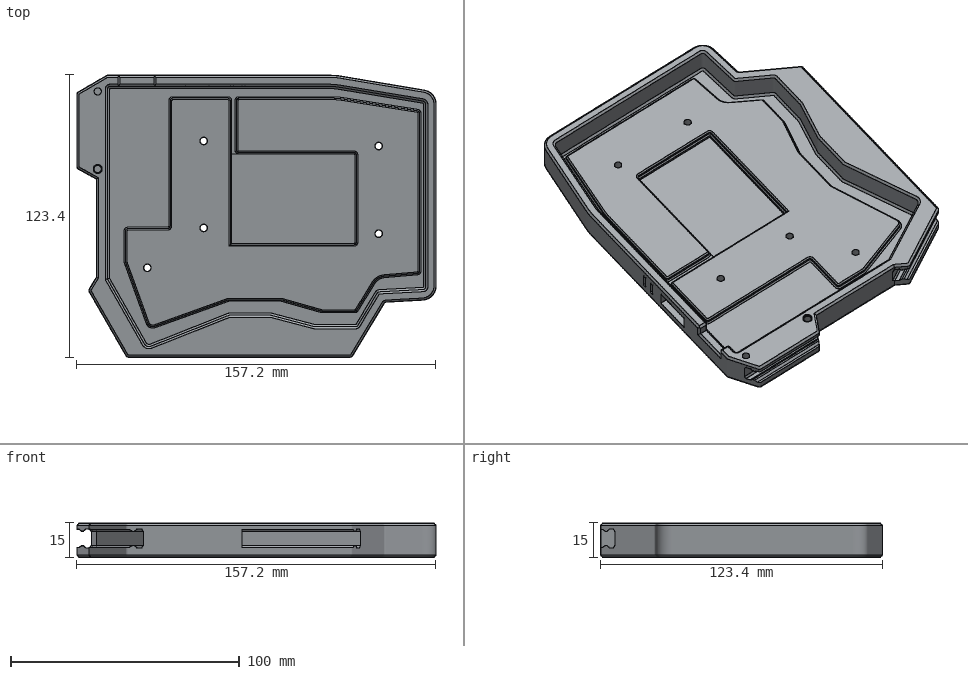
import cadquery as cq
import math

LENGTH = 157.2
DEPTH = 123.4
HEIGHT = 15.0
WALL = 4.9
RIGHT_WALL = 4.5
TAB_NECK_X = 8.5

FLOOR_Z = 2.5
PLATEAU_Z = 4.7
RECESS_Z = 1.4

EDGE_CHAMFER = 1.0
PLATEAU_CHAMFER = 0.6
CORNER_R = 1.3
SMALL_R = 1.1
TIP_R = 2.4
BEND_R = 25.2
RIGHT_CORNER_R = 6.3
OVERCUT = 1.5

OUTER = [
    (21.8, 0, CORNER_R),
    (120.3, 0, CORNER_R),
    (134.7, 24.0, CORNER_R),
    (LENGTH, 25.3, RIGHT_CORNER_R),
    (LENGTH, 116.0, RIGHT_CORNER_R),
    (113.2, DEPTH, BEND_R),
    (13.2, DEPTH, CORNER_R),
    (0, 115.7, CORNER_R),
    (0, 82.7, CORNER_R),
    (TAB_NECK_X, 78.0, 0),
    (TAB_NECK_X, 34.9, 0),
    (5.0, 29.2, CORNER_R),
]

CAVITY = [
    (30.5, 4.1, TIP_R),
    (66.6, 18.4, CORNER_R),
    (84.9, 18.4, CORNER_R),
    (104.0, 13.4, CORNER_R),
    (122.6, 13.4, CORNER_R),
    (131.7, 28.6, CORNER_R),
    (LENGTH - RIGHT_WALL, 29.7, CORNER_R),
    (LENGTH - RIGHT_WALL, 111.9, RIGHT_CORNER_R - RIGHT_WALL),
    (112.5, DEPTH - WALL, BEND_R),
    (TAB_NECK_X + WALL, DEPTH - WALL, CORNER_R),
    (TAB_NECK_X + WALL, 34.3, 0),
]

CHANNEL_LEFT = 67.1
CHANNEL_RIGHT = 69.8
RECESS_RIGHT = 122.3
RECESS_FRONT = 49.2
RECESS_BACK = 89.6
PLATEAU_BACK = 113.3

PLATEAU = [
    (31.8, 12.7, TIP_R),
    (66.3, 25.2, CORNER_R),
    (89.5, 25.2, CORNER_R),
    (107.2, 20.1, CORNER_R),
    (122.1, 20.1, CORNER_R),
    (131.4, 35.2, 6.3),
    (150.0, 36.8, CORNER_R),
    (150.0, 107.7, CORNER_R),
    (114.1, PLATEAU_BACK, BEND_R),
    (CHANNEL_RIGHT, PLATEAU_BACK, SMALL_R),
    (CHANNEL_RIGHT, RECESS_BACK, SMALL_R),
    (RECESS_RIGHT, RECESS_BACK, SMALL_R),
    (RECESS_RIGHT, RECESS_FRONT, SMALL_R),
    (CHANNEL_LEFT, RECESS_FRONT, 0),
    (CHANNEL_LEFT, PLATEAU_BACK, SMALL_R),
    (40.9, PLATEAU_BACK, SMALL_R),
    (40.9, 56.3, CORNER_R),
    (21.2, 56.3, SMALL_R),
    (21.2, 41.8, 0),
]

RAIL_Z = 8.25
RAIL_PROFILE = [
    (0, 4.0),
    (1.0, 4.0),
    (2.0, 3.1),
    (2.8, 3.1),
    (4.0, 4.1),
    (5.7, 4.1),
    (6.3, 3.0),
]
FRONT_RAIL_START = 72.2
RAIL_RUNOUT = 9.5

HOLE_D = 3.1
SCREW_HOLES = [(55.5, 94.6), (55.5, 56.6), (132.0, 92.5), (132.0, 54.0), (30.8, 39.1)]
TAB_HOLE_X = 9.1
TAB_HOLE_BACK_Y = 116.3
TAB_HOLE_FRONT_Y = 82.4
TAB_HOLE_DEPTH = 6.3
COUNTERBORE_D = 4.0
COUNTERBORE_DEPTH = 0.8

NOTCH_LEFT = 18.9
NOTCH_RIGHT = 33.6
NOTCH_Z = 10.2
WINDOW_LEFT = 47.5
WINDOW_RIGHT = 57.8
WINDOW_WALL = 1.9
WINDOW_POCKET_MARGIN = 3.1
OPENING_BOTTOM = 4.2
OPENING_TOP = 10.7
SLIT_LEFTS = [67.1, 72.2]
SLIT_WIDTH = 1.4


def rounded_outline(corners):
    """Closed wire through the corners, each rounded by its own tangent arc."""
    path = None
    for i, (x, y, radius) in enumerate(corners):
        here = cq.Vector(x, y)
        back = (cq.Vector(*corners[i - 1][:2]) - here).normalized()
        ahead = (cq.Vector(*corners[(i + 1) % len(corners)][:2]) - here).normalized()
        half_angle = back.getAngle(ahead) / 2
        reach = radius / math.tan(half_angle)
        start = here + back * reach
        end = here + ahead * reach
        middle = here + (back + ahead).normalized() * (radius / math.sin(half_angle) - radius)
        if path is None:
            path = cq.Workplane("XY").moveTo(start.x, start.y)
        else:
            path = path.lineTo(start.x, start.y)
        if radius > 0:
            path = path.threePointArc((middle.x, middle.y), (end.x, end.y))
    return path.close()


def prism(corners, bottom, top, grow=0.0):
    outline = rounded_outline(corners)
    if grow:
        outline = outline.offset2D(grow, "intersection")
    return outline.extrude(top - bottom).translate((0, 0, bottom))


def box(x0, x1, y0, y1, z0, z1):
    return cq.Workplane("XY").box(x1 - x0, y1 - y0, z1 - z0, centered=False).translate((x0, y0, z0))


def base_block():
    block = prism(OUTER, 0, HEIGHT)
    return block.faces("<Z or >Z").edges().chamfer(EDGE_CHAMFER)


def cavity_cutter():
    """Tray interior with a broken floor edge and a flared rim."""
    pit = prism(CAVITY, FLOOR_Z, HEIGHT + OVERCUT).faces("<Z").edges().chamfer(EDGE_CHAMFER)
    rim = prism(CAVITY, HEIGHT - EDGE_CHAMFER, HEIGHT + OVERCUT, grow=EDGE_CHAMFER)
    return pit.union(rim.faces("<Z").edges().chamfer(EDGE_CHAMFER))


def plateau():
    """Raised floor with a broken top edge and a sloped foot."""
    root_z = FLOOR_Z - PLATEAU_CHAMFER
    block = prism(PLATEAU, root_z, PLATEAU_Z).faces(">Z").edges().chamfer(PLATEAU_CHAMFER)
    foot = prism(PLATEAU, root_z, FLOOR_Z + PLATEAU_CHAMFER, grow=PLATEAU_CHAMFER)
    return block.union(foot.faces(">Z").edges().chamfer(PLATEAU_CHAMFER))


def recess_cutter():
    """Deeper area framed by the foot of the plateau."""
    inset = PLATEAU_CHAMFER
    x0 = CHANNEL_LEFT + inset
    x1 = RECESS_RIGHT - inset
    return box(x0, x1, RECESS_FRONT + inset, RECESS_BACK - inset, RECESS_Z, FLOOR_Z)


def rail_groove(start, end):
    """Groove cutter along an outer side that runs counter-clockwise from start to end."""
    start = cq.Vector(*start)
    along = cq.Vector(*end) - start
    inward = cq.Vector(0, 0, 1).cross(along)
    plane = cq.Plane(origin=(start.x, start.y, RAIL_Z), xDir=inward, normal=along)
    upper = [(-OVERCUT, RAIL_PROFILE[0][1])] + RAIL_PROFILE
    lower = [(depth, -half_height) for depth, half_height in reversed(upper)]
    return cq.Workplane(plane).polyline(upper + lower).close().extrude(along.Length)


def side_groove(first, last):
    """Rail groove along the side between two outline corners, running past both ends."""
    first = cq.Vector(*first[:2])
    last = cq.Vector(*last[:2])
    runout = (last - first).normalized() * RAIL_RUNOUT
    start = first - runout
    end = last + runout
    return rail_groove((start.x, start.y), (end.x, end.y))


def notch_cutter():
    """Open notch through the back wall, all of its edges broken."""
    bevel = EDGE_CHAMFER
    profile = (
        cq.Workplane("XZ", origin=(0, DEPTH + OVERCUT, 0))
        .moveTo(NOTCH_LEFT, NOTCH_Z)
        .lineTo(NOTCH_RIGHT, NOTCH_Z)
        .lineTo(NOTCH_RIGHT, HEIGHT - bevel)
        .lineTo(NOTCH_RIGHT + bevel + OVERCUT, HEIGHT + OVERCUT)
        .lineTo(NOTCH_LEFT - bevel - OVERCUT, HEIGHT + OVERCUT)
        .lineTo(NOTCH_LEFT, HEIGHT - bevel)
        .close()
    )
    opening = profile.extrude(WALL + 2 * OVERCUT)
    mouth_x0 = NOTCH_LEFT - bevel
    mouth_x1 = NOTCH_RIGHT + bevel
    mouth_z = NOTCH_Z - bevel
    inner_y = DEPTH - WALL
    mouth_top = HEIGHT + OVERCUT
    inner = box(mouth_x0, mouth_x1, inner_y - OVERCUT, inner_y + bevel, mouth_z, mouth_top)
    outer = box(mouth_x0, mouth_x1, DEPTH - bevel, DEPTH + OVERCUT, mouth_z, mouth_top)
    inner = inner.faces(">Y").edges("not(>Z)").chamfer(bevel)
    outer = outer.faces("<Y").edges("not(>Z)").chamfer(bevel)
    return opening.union(inner).union(outer)


def back_wall_opening(left, right, start_y=DEPTH - WALL - OVERCUT):
    return box(left, right, start_y, DEPTH + OVERCUT, OPENING_BOTTOM, OPENING_TOP)


def window_cutter():
    """Window through the back wall, widened into a pocket on the outside."""
    pocket_left = WINDOW_LEFT - WINDOW_POCKET_MARGIN
    pocket_right = WINDOW_RIGHT + WINDOW_POCKET_MARGIN
    pocket = back_wall_opening(pocket_left, pocket_right, start_y=DEPTH - WALL + WINDOW_WALL)
    return back_wall_opening(WINDOW_LEFT, WINDOW_RIGHT).union(pocket)


def cylinder(x, y, diameter, bottom, top):
    return cq.Workplane("XY", origin=(x, y, bottom)).circle(diameter / 2).extrude(top - bottom)


result = base_block().cut(cavity_cutter()).union(plateau()).cut(recess_cutter())

result = result.cut(rail_groove((FRONT_RAIL_START, 0), (OUTER[1][0] + RAIL_RUNOUT, 0)))
result = result.cut(side_groove(OUTER[7], OUTER[8]))
result = result.cut(side_groove(OUTER[11], OUTER[0]))

for x, y in SCREW_HOLES:
    result = result.cut(cylinder(x, y, HOLE_D, 0, HEIGHT))
for y in (TAB_HOLE_BACK_Y, TAB_HOLE_FRONT_Y):
    result = result.cut(cylinder(TAB_HOLE_X, y, HOLE_D, HEIGHT - TAB_HOLE_DEPTH, HEIGHT))
result = result.cut(cylinder(TAB_HOLE_X, TAB_HOLE_FRONT_Y, COUNTERBORE_D, HEIGHT - COUNTERBORE_DEPTH, HEIGHT))

result = result.cut(notch_cutter())
result = result.cut(window_cutter())
for left in SLIT_LEFTS:
    result = result.cut(back_wall_opening(left, left + SLIT_WIDTH))